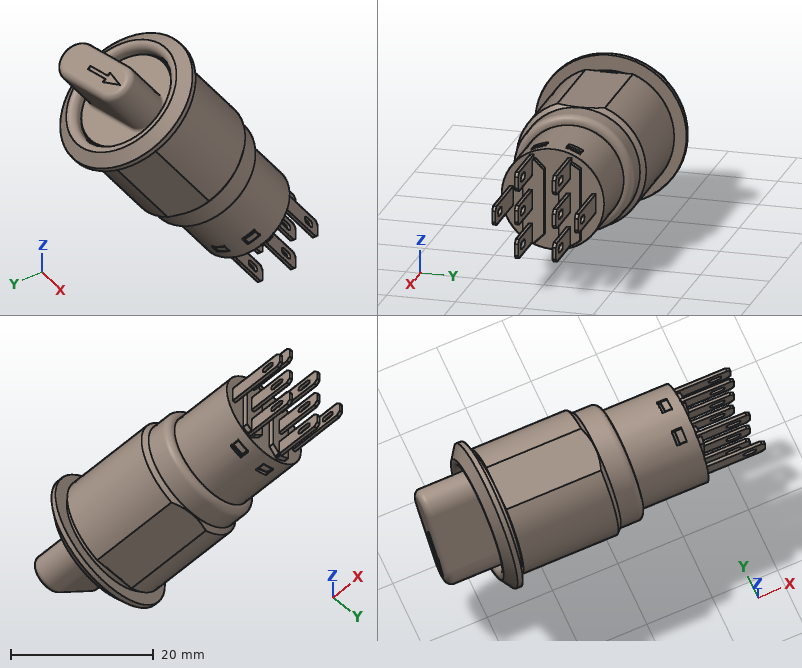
import cadquery as cq
import math


handle_length = 15.0
handle_width = 6.0
handle_angle = 45.0
handle_top_fillet = 1.0
handle_base_fillet = 0.5
knob_disc_x = 8.5
knob_disc_diameter = 15.3
knob_disc_thickness = 1.5
knob_disc_chamfer = 0.2

arrow_tail_y = 1.05
arrow_neck_y = -3.0
arrow_tip_y = -6.1
arrow_shaft_half_width = 0.28
arrow_head_half_width = 0.83
arrow_depth = 0.1

bezel_front_x = 7.2
bezel_rim_x = 8.5
bezel_rear_x = 9.3
bezel_diameter = 22.0
bezel_front_diameter = 18.3
recess_diameter = 15.6
recess_lip_radius = 1.0

neck_diameter = 17.5
sleeve_diameter = 18.9
sleeve_start_x = 10.1
sleeve_end_x = 25.3
sleeve_chamfer = (sleeve_diameter - neck_diameter) / 2
sleeve_across_flats = 17.6
neck_end_x = 29.1
neck_fillet = 1.0

barrel_diameter = 14.9
barrel_end_x = 39.3

window_start_x = 36.25
window_end_x = 37.7
window_inner_y = 1.5
window_outer_y = 3.55
window_depth = 0.6
latch_start_x = 36.7
latch_side_gap = 0.15
latch_drop = 0.15

rail_height = 0.75
rail_inner_y = 1.1
rail_outer_y = 4.15
rail_crest_y = 2.5
rail_arc_radius = 6.7
rail_arc_center_z = -0.3

terminal_width = 2.8
terminal_thickness = 0.5
terminal_chamfer = 0.55
terminal_embed = 1.0
terminal_hole_width = 1.0
common_y = 6.0
common_end_x = 48.5
contact_left_y = 2.5
contact_right_y = -3.0
contact_spacing = 5.0
contact_end_x = 47.5
contact_hole_start_x = 43.85
contact_hole_end_x = 46.05
common_hole_start_x = 45.15
common_hole_end_x = 47.1


def disc(diameter, start_x, end_x):
    """Cylinder on the switch axis."""
    return cq.Workplane("YZ", origin=(start_x, 0, 0)).circle(diameter / 2).extrude(end_x - start_x)


def box_between(x_range, y_range, z_range):
    """Axis-aligned block between two corners."""
    lower, upper = zip(x_range, y_range, z_range)
    size = [high - low for low, high in zip(lower, upper)]
    return cq.Workplane("XY").box(*size, centered=False).translate(lower)


def make_handle():
    """Stadium-shaped grip, flared where it meets the knob disc, with an engraved arrow."""
    grip = cq.Workplane("YZ").slot2D(handle_length, handle_width).extrude(knob_disc_x)
    grip = grip.faces("<X").edges().fillet(handle_top_fillet)

    plate_diameter = handle_length + 4 * handle_base_fillet
    plate = disc(plate_diameter, knob_disc_x, knob_disc_x + knob_disc_thickness)
    margin = handle_base_fillet / 2
    reach_y = handle_length / 2 + margin
    reach_z = handle_width / 2 + margin
    base_corner = cq.selectors.BoxSelector(
        (knob_disc_x - margin, -reach_y, -reach_z),
        (knob_disc_x + margin, reach_y, reach_z),
        boundingbox=True,
    )
    grip = grip.union(plate).edges(base_corner).fillet(handle_base_fillet)
    grip = grip.intersect(disc(knob_disc_diameter, 0, knob_disc_x))

    arrow = (
        cq.Workplane("YZ")
        .moveTo(arrow_tail_y, arrow_shaft_half_width)
        .lineTo(arrow_neck_y, arrow_shaft_half_width)
        .lineTo(arrow_neck_y, arrow_head_half_width)
        .lineTo(arrow_tip_y, 0)
        .lineTo(arrow_neck_y, -arrow_head_half_width)
        .lineTo(arrow_neck_y, -arrow_shaft_half_width)
        .lineTo(arrow_tail_y, -arrow_shaft_half_width)
        .close()
        .extrude(arrow_depth)
    )
    return grip.cut(arrow).rotate((0, 0, 0), (1, 0, 0), handle_angle)


def make_knob():
    """Round disc with the turned handle on its front face."""
    base = disc(knob_disc_diameter, knob_disc_x, knob_disc_x + knob_disc_thickness)
    base = base.faces("<X").edges().chamfer(knob_disc_chamfer)
    return base.union(make_handle())


def make_shell():
    """Bezel, necks and contact block turned as one profile, with the knob recess in front."""
    arc_mid_factor = 1 - math.cos(math.radians(45))
    recess_radius = recess_diameter / 2
    lip_mid_offset = recess_lip_radius * arc_mid_factor
    neck_radius = neck_diameter / 2
    neck_mid_offset = neck_fillet * arc_mid_factor
    recess_floor_x = knob_disc_x + knob_disc_thickness
    profile = (
        cq.Workplane("XY")
        .moveTo(recess_floor_x, 0)
        .lineTo(recess_floor_x, recess_radius)
        .lineTo(bezel_front_x + recess_lip_radius, recess_radius)
        .threePointArc(
            (bezel_front_x + lip_mid_offset, recess_radius + lip_mid_offset),
            (bezel_front_x, recess_radius + recess_lip_radius),
        )
        .lineTo(bezel_front_x, bezel_front_diameter / 2)
        .lineTo(bezel_rim_x, bezel_diameter / 2)
        .lineTo(bezel_rear_x, bezel_diameter / 2)
        .lineTo(bezel_rear_x, neck_radius)
        .lineTo(neck_end_x - neck_fillet, neck_radius)
        .threePointArc(
            (neck_end_x - neck_mid_offset, neck_radius - neck_mid_offset),
            (neck_end_x, neck_radius - neck_fillet),
        )
        .lineTo(neck_end_x, barrel_diameter / 2)
        .lineTo(barrel_end_x, barrel_diameter / 2)
        .lineTo(barrel_end_x, 0)
        .close()
    )
    return profile.revolve(360, (0, 0, 0), (1, 0, 0))


def make_sleeve():
    """Sleeve with a rear chamfer and a flat on its top and its bottom."""
    sleeve = disc(sleeve_diameter, sleeve_start_x, sleeve_end_x)
    sleeve = sleeve.faces(">X").edges().chamfer(sleeve_chamfer)
    half_height = sleeve_across_flats / 2
    half_width = sleeve_diameter / 2
    between_flats = box_between(
        (sleeve_start_x, sleeve_end_x), (-half_width, half_width), (-half_height, half_height)
    )
    return sleeve.intersect(between_flats)


def make_window_cutter():
    """Window on the +Y, +Z side of the contact block: a pocket around a slightly sunken latch."""
    barrel_radius = barrel_diameter / 2
    z_range = (0, barrel_radius)
    opening = box_between(
        (window_start_x, window_end_x), (window_inner_y, window_outer_y), z_range
    )
    pocket_floor = disc(barrel_diameter - 2 * window_depth, window_start_x, window_end_x)
    latch = box_between(
        (latch_start_x, window_end_x),
        (window_inner_y + latch_side_gap, window_outer_y - latch_side_gap),
        z_range,
    ).intersect(disc(barrel_diameter - 2 * latch_drop, latch_start_x, window_end_x))
    return opening.cut(pocket_floor).cut(latch)


def make_rail():
    """Rail on the +Y side: upright sides, 45 degree inner corners and round outer corners."""
    crest_height = math.sqrt(rail_arc_radius**2 - rail_crest_y**2)
    shoulder_height = crest_height - (rail_crest_y - rail_inner_y)
    outer_height = math.sqrt(rail_arc_radius**2 - rail_outer_y**2)
    middle_y = (rail_crest_y + rail_outer_y) / 2
    middle_height = math.sqrt(rail_arc_radius**2 - middle_y**2)
    return (
        cq.Workplane("YZ", origin=(barrel_end_x, 0, rail_arc_center_z))
        .moveTo(rail_inner_y, -shoulder_height)
        .lineTo(rail_crest_y, -crest_height)
        .threePointArc((middle_y, -middle_height), (rail_outer_y, -outer_height))
        .lineTo(rail_outer_y, outer_height)
        .threePointArc((middle_y, middle_height), (rail_crest_y, crest_height))
        .lineTo(rail_inner_y, shoulder_height)
        .close()
        .extrude(rail_height)
    )


def make_terminal(y, z, end_x, hole_start_x, hole_end_x):
    """Flat blade with chamfered tip corners and a slotted eye, rooted in the contact block."""
    root_x = barrel_end_x - terminal_embed
    half_width = terminal_width / 2
    half_thickness = terminal_thickness / 2
    blade = box_between(
        (root_x, end_x), (y - half_thickness, y + half_thickness), (z - half_width, z + half_width)
    )
    blade = blade.faces(">X").edges("|Y").chamfer(terminal_chamfer)
    eye = (
        cq.Workplane("XZ", origin=((hole_start_x + hole_end_x) / 2, y, z))
        .slot2D(hole_end_x - hole_start_x, terminal_hole_width)
        .extrude(half_thickness, both=True)
    )
    return blade.cut(eye)


def make_housing():
    """Switch body with its sleeve, latch windows, rails and eight terminals."""
    body = make_shell().union(make_sleeve())

    window = make_window_cutter()
    window_pair = window.union(window.mirror("XZ"))
    body = body.cut(window_pair).cut(window_pair.mirror("XY"))

    rail = make_rail()
    body = body.union(rail).union(rail.mirror("XZ"))

    for y in (contact_left_y, contact_right_y):
        for z in (-contact_spacing, 0, contact_spacing):
            contact = make_terminal(y, z, contact_end_x, contact_hole_start_x, contact_hole_end_x)
            body = body.union(contact)
    for y in (-common_y, common_y):
        common = make_terminal(y, 0, common_end_x, common_hole_start_x, common_hole_end_x)
        body = body.union(common)
    return body


knob = make_knob()
housing = make_housing()

result = cq.Compound.makeCompound([knob.val(), housing.val()])